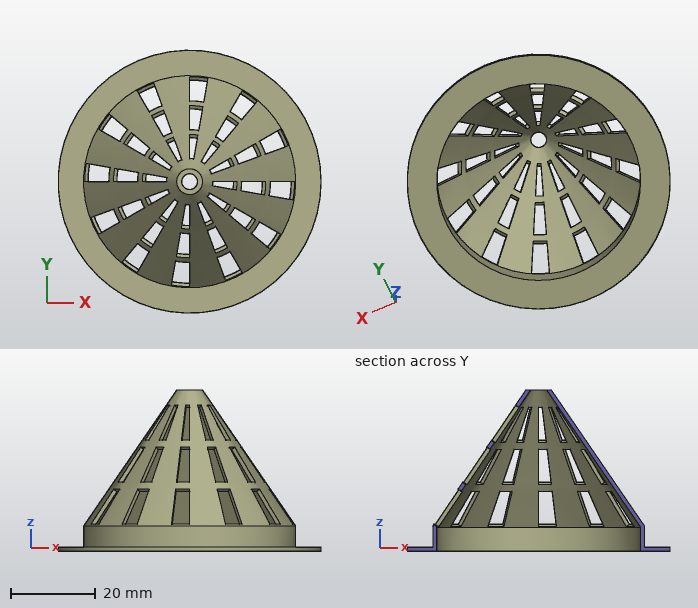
import cadquery as cq
import math

flange_diameter = 62.0
flange_thickness = 1.0
collar_diameter = 50.0
bore_diameter = 48.0
collar_top = 6.0

total_height = 38.07
tip_diameter = 6.08
wall_thickness = 1.0

slots_per_row = 12
slot_angle = 10.0
row_count = 3
first_row_offset = 0.5
slot_length = 10.0
rib_width = 2.0
cut_margin = 0.5

slot_spacing = 360.0 / slots_per_row
row_pitch = slot_length + rib_width
collar_radius = collar_diameter / 2
bore_radius = bore_diameter / 2
tip_radius = tip_diameter / 2

half_angle = math.atan2(collar_radius - tip_radius, total_height - collar_top)
wall_across = wall_thickness / math.cos(half_angle)
inner_cone_base = collar_top - (bore_radius - collar_radius + wall_across) / math.tan(half_angle)


def cone_point(along, depth):
    """Radius and height at a distance up the outer slope and a depth normal to it."""
    radius = collar_radius - along * math.sin(half_angle) - depth * math.cos(half_angle)
    height = collar_top + along * math.cos(half_angle) - depth * math.sin(half_angle)
    return radius, height


def make_body():
    """Revolve the thin wall of flange, collar and cone about Z."""
    flange_radius = flange_diameter / 2
    return (
        cq.Workplane("XZ")
        .moveTo(bore_radius, 0)
        .lineTo(flange_radius, 0)
        .lineTo(flange_radius, flange_thickness)
        .lineTo(collar_radius, flange_thickness)
        .lineTo(collar_radius, collar_top)
        .lineTo(tip_radius, total_height)
        .lineTo(tip_radius - wall_across, total_height)
        .lineTo(bore_radius, inner_cone_base)
        .close()
        .revolve(360, (0, 0, 0), (0, 1, 0))
    )


def make_slot(row):
    """One slot cutter whose ends are normal to the cone, swept clockwise from the XZ plane."""
    start = first_row_offset + row * row_pitch
    end = start + slot_length
    inside = wall_thickness + cut_margin
    corners = [
        cone_point(start, -cut_margin),
        cone_point(end, -cut_margin),
        cone_point(end, inside),
        cone_point(start, inside),
    ]
    return cq.Workplane("XZ").polyline(corners).close().revolve(slot_angle, (0, 0, 0), (0, -1, 0))


def make_slot_row(row):
    """Repeat the row's slot around the cone's axis."""
    slot = make_slot(row)
    slots = [
        slot.rotate((0, 0, 0), (0, 0, 1), index * slot_spacing).val()
        for index in range(slots_per_row)
    ]
    return cq.Workplane(cq.Compound.makeCompound(slots))


result = make_body()
for row in range(row_count):
    result = result.cut(make_slot_row(row))